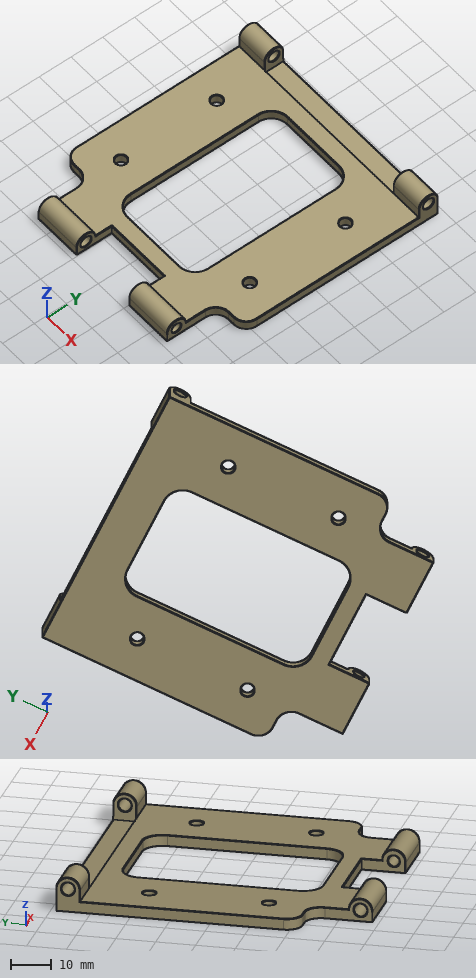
import cadquery as cq
width = 70.0
length = 77.0
thickness = 3.0
edge_chamfer = 0.2

knuckle_radius = 3.0
rear_knuckle_width = 10.0
rear_axis_height = 2 * thickness
front_axis_height = thickness
clearance_bore = 3.2
grip_bore = 2.8
relief_depth = 1.0

tab_span = width - 2 * rear_knuckle_width
notch_width = 20.25
notch_depth = 11.0
shoulder_depth = 16.0
shoulder_radius = 4.0

window_width = 30.0
window_length = 50.05
window_radius = 5.0
window_setback = 36.0
hole_diameter = 3.2
hole_spacing_x = tab_span
hole_spacing_y = 30.0

front_y = -length / 2
rear_y = length / 2
shoulder_y = front_y + shoulder_depth
window_y = rear_y - window_setback
front_axis_y = front_y + knuckle_radius
rear_axis_y = rear_y - knuckle_radius


def block(x_min, x_max, y_min, y_max, height):
    """Box standing on the underside plane."""
    box = cq.Workplane("XY").box(x_max - x_min, y_max - y_min, height, centered=False)
    return box.translate((x_min, y_min, 0))


def rod(x_min, x_max, y, z, radius):
    """Cylinder running along X."""
    return cq.Workplane("YZ", origin=(x_min, 0, 0)).center(y, z).circle(radius).extrude(x_max - x_min)


def upright_edge(body, x, y):
    """Vertical edge of the plate nearest to a corner position."""
    return body.edges("|Z").edges(cq.selectors.NearestToPointSelector((x, y, thickness / 2)))


def make_plate():
    """Flat plate with two front tabs, rounded shoulders, window and screw holes."""
    plate = block(-width / 2, width / 2, shoulder_y, rear_y, thickness)
    plate = plate.union(block(-tab_span / 2, tab_span / 2, front_y, rear_y, thickness))
    plate = plate.cut(block(-notch_width / 2, notch_width / 2, front_y, front_y + notch_depth, thickness))
    for side in (-1, 1):
        plate = upright_edge(plate, side * width / 2, shoulder_y).fillet(shoulder_radius)
        plate = upright_edge(plate, side * tab_span / 2, shoulder_y).fillet(shoulder_radius)
        plate = upright_edge(plate, side * width / 2, rear_y).chamfer(edge_chamfer)
        plate = upright_edge(plate, side * notch_width / 2, front_y).chamfer(edge_chamfer)
    sketch = cq.Workplane("XY").center(0, window_y)
    window = sketch.rect(window_width, window_length).extrude(thickness).edges("|Z").fillet(window_radius)
    hole_places = sketch.rect(hole_spacing_x, hole_spacing_y, forConstruction=True).vertices()
    holes = hole_places.circle(hole_diameter / 2).extrude(thickness)
    return plate.cut(window).cut(holes).faces("<Z or >Z").edges().chamfer(edge_chamfer)


def make_knuckle(x_min, x_max, y, axis_height):
    """Round-topped hinge block with chamfered ends and foot, standing on the underside plane."""
    base = block(x_min, x_max, y - knuckle_radius, y + knuckle_radius, axis_height)
    knuckle = base.union(rod(x_min, x_max, y, axis_height, knuckle_radius)).clean()
    return knuckle.faces("|X or <Z").edges().chamfer(edge_chamfer)


def make_bore(x_min, x_max, y, z, diameter):
    """Pin bore along X, chamfered at both knuckle ends."""
    radius = diameter / 2
    mouth_radius = radius + edge_chamfer
    bore = rod(x_min, x_max, y, z, radius)
    for x, inward in ((x_min, 1), (x_max, -1)):
        mouth = cq.Solid.makeCone(mouth_radius, radius, edge_chamfer, (x, y, z), (inward, 0, 0))
        bore = bore.union(cq.Workplane(mouth))
    return bore


def make_relief():
    """Material removed between the rear knuckles, leaving a lower strip with a chamfered rear edge."""
    strip_height = thickness - relief_depth
    strip_front_y = rear_y - 2 * knuckle_radius
    profile = (
        cq.Workplane("YZ", origin=(-tab_span / 2, 0, 0))
        .moveTo(strip_front_y, thickness)
        .lineTo(strip_front_y, strip_height)
        .lineTo(rear_y - edge_chamfer, strip_height)
        .lineTo(rear_y, strip_height - edge_chamfer)
        .lineTo(rear_y, thickness)
        .close()
    )
    return profile.extrude(tab_span)


result = make_plate().cut(make_relief())

for side, front_bore in ((-1, clearance_bore), (1, grip_bore)):
    tab = sorted((side * tab_span / 2, side * notch_width / 2))
    corner = sorted((side * width / 2, side * tab_span / 2))
    result = result.union(make_knuckle(*tab, front_axis_y, front_axis_height))
    result = result.union(make_knuckle(*corner, rear_axis_y, rear_axis_height))
    result = result.cut(make_bore(*tab, front_axis_y, front_axis_height, front_bore))
    result = result.cut(make_bore(*corner, rear_axis_y, rear_axis_height, clearance_bore))